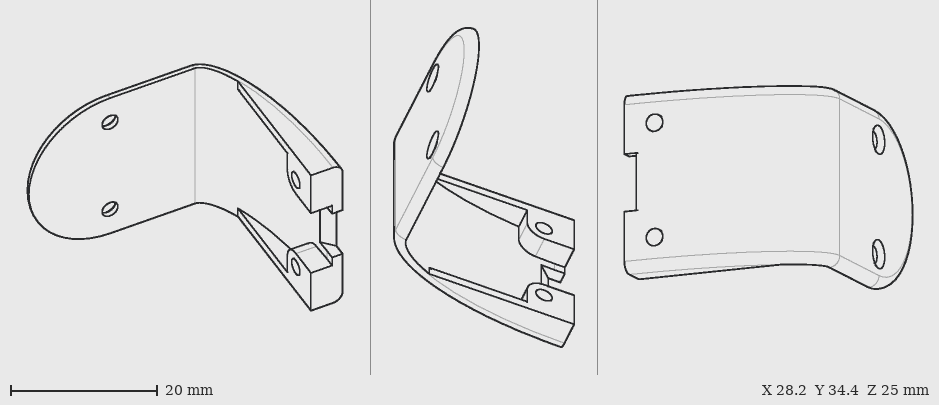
import cadquery as cq
import math

width = 28.2
length = 34.42
height = 25.0

wall = 1.62
edge_radius = 1.5
curve_rise = 8.9
bend_y = length - curve_rise
curve_spans = 24
end_radius = height / 2
inner_flat_length = 1.65

pad_face_y = 29.53
rail_height = 1.5
pad_left_x = 21.25
pad_gap = 11.0

hole_diameter = 2.4
hole_spacing = 16.05
wall_hole_x = 23.7
countersink_diameter = 4.0
countersink_depth = (countersink_diameter - hole_diameter) / 2

notch_height = 8.05
notch_inner_x = 24.68
notch_outer_x = 26.45


def outer_point(angle):
    """Point on the outer quarter ellipse, from the bend (0) to the free end (pi / 2)."""
    return (width * (1 - math.cos(angle)), bend_y + curve_rise * math.sin(angle))


def inset_point(angle, inset):
    """Point at a given distance inside the outer ellipse."""
    x, y = outer_point(angle)
    normal_x = curve_rise * math.cos(angle)
    normal_y = width * math.sin(angle)
    scale = inset / math.hypot(normal_x, normal_y)
    return (x + normal_x * scale, y - normal_y * scale)


def inset_curve(inset, start_angle, end_angle):
    """Points along the ellipse's inset curve between two angles."""
    step = (end_angle - start_angle) / curve_spans
    return [inset_point(start_angle + i * step, inset) for i in range(curve_spans + 1)]


def extrude_centred(sketch, size):
    return sketch.extrude(size).translate((0, 0, -size / 2))


def make_block():
    """Solid block with the outer surface of the part and rounded outer edges."""
    run_off = 3.45
    profile = (
        cq.Workplane("XY")
        .lineTo(0, bend_y)
        .ellipseArc(width, curve_rise, 90, 180, sense=-1)
        .lineTo(width + run_off, length)
        .lineTo(width + run_off, 0)
        .close()
    )
    block = extrude_centred(profile, height)

    outline = (
        cq.Workplane("YZ")
        .moveTo(length, -end_radius)
        .lineTo(end_radius, -end_radius)
        .threePointArc((0, 0), (end_radius, end_radius))
        .lineTo(length, end_radius)
        .close()
        .extrude(width + run_off)
    )
    block = block.intersect(outline)

    block = block.faces("<X").edges("not(|Z)").fillet(edge_radius)

    envelope = cq.Workplane("XY").box(width, length, height, centered=(False, False, True))
    return block.intersect(envelope)


def make_cavity():
    """Space inside the plate and the elliptical wall, which is flat near its free end."""
    flat_angle = math.acos(inner_flat_length / width)
    inner = inset_curve(wall, 0, flat_angle)
    profile = (
        cq.Workplane("XY")
        .moveTo(wall, -wall)
        .lineTo(wall, bend_y)
        .spline(inner[1:], includeCurrent=True)
        .lineTo(width + wall, inner[-1][1])
        .lineTo(width + wall, -wall)
        .close()
    )
    return extrude_centred(profile, height + 2 * wall)


def make_pads():
    """Rails along both sides that widen into pads around the wall holes."""
    curve = inset_curve((wall + edge_radius) / 2, 0, math.pi / 2)
    blank = extrude_centred(
        cq.Workplane("XY")
        .moveTo(*curve[0])
        .spline(curve[1:], includeCurrent=True)
        .lineTo(width, bend_y)
        .close(),
        height,
    )
    pad_space = cq.Workplane("XY").box(width, length, height, centered=(False, False, True))
    blank = blank.intersect(pad_space.translate((0, pad_face_y, 0)))

    pocket_height = height - 2 * rail_height
    pocket = cq.Workplane("XY").box(pad_left_x, length, pocket_height, centered=(False, False, True))
    gap = cq.Workplane("XY").box(width, length, pad_gap, centered=(False, False, True))
    pads = blank.cut(pocket.translate((0, bend_y, 0))).cut(gap.translate((0, bend_y, 0)))

    corner = cq.selectors.BoxSelector(
        (pad_left_x - 0.35, bend_y, -pad_gap / 2 - 0.35),
        (pad_left_x + 0.35, length, pad_gap / 2 + 0.35),
    )
    return pads.edges("|Y").edges(corner).fillet(wall_hole_x - pad_left_x)


def make_notch():
    floor = (
        cq.Workplane("XY")
        .moveTo(notch_inner_x, length - wall)
        .lineTo(notch_outer_x, length)
        .lineTo(2 * width, length)
        .lineTo(2 * width, bend_y)
        .lineTo(notch_inner_x, bend_y)
        .close()
    )
    return extrude_centred(floor, notch_height)


def make_wall_holes():
    return (
        cq.Workplane("XZ", origin=(wall_hole_x, 0, 0))
        .workplane(offset=-bend_y)
        .pushPoints([(0, -hole_spacing / 2), (0, hole_spacing / 2)])
        .circle(hole_diameter / 2)
        .extrude(-length)
    )


def make_plate_holes():
    holes = (
        cq.Workplane("YZ", origin=(0, end_radius, 0))
        .pushPoints([(0, -hole_spacing / 2), (0, hole_spacing / 2)])
        .circle(hole_diameter / 2)
        .extrude(2 * wall)
    )
    for z in (-hole_spacing / 2, hole_spacing / 2):
        countersink = cq.Solid.makeCone(
            countersink_diameter / 2,
            hole_diameter / 2,
            countersink_depth,
            pnt=cq.Vector(0, end_radius, z),
            dir=cq.Vector(1, 0, 0),
        )
        holes = holes.union(cq.Workplane(countersink))
    return holes


result = (
    make_block()
    .cut(make_cavity())
    .union(make_pads())
    .cut(make_notch())
    .cut(make_wall_holes())
    .cut(make_plate_holes())
)